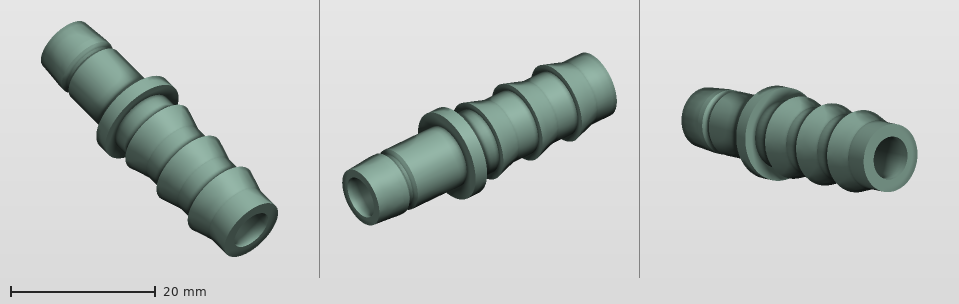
import cadquery as cq

total_length = 41.0
bore_radius = 3.0

nose_tip_radius = 4.2
plug_radius = 4.5
nose_length = 4.0

groove_start = 5.0
groove_depth = 0.5

flange_start = 15.0
flange_end = 17.0
flange_diameter = 13.0
flange_radius = flange_diameter / 2

barb_count = 3
hose_radius = 4.75
barb_radius = 5.75
hose_segment = (total_length - flange_end) / (2 * barb_count + 1)


def plug_profile():
    """Outer (x, radius) points from the nose tip to the flange."""
    groove_radius = plug_radius - groove_depth
    return [
        (0, nose_tip_radius),
        (nose_length, plug_radius),
        (groove_start, plug_radius),
        (groove_start + groove_depth, groove_radius),
        (groove_start + 2 * groove_depth, groove_radius),
        (groove_start + 3 * groove_depth, plug_radius),
        (flange_start, plug_radius),
    ]


def flange_profile():
    """Outer (x, radius) points around the flange rim."""
    return [
        (flange_start, flange_radius),
        (flange_end, flange_radius),
    ]


def hose_profile():
    """Outer (x, radius) points along the barbed end."""
    points = [(flange_end, hose_radius)]
    for index in range(barb_count):
        barb_start = flange_end + (2 * index + 1) * hose_segment
        points += [
            (barb_start, hose_radius),
            (barb_start, barb_radius),
            (barb_start + hose_segment, hose_radius),
        ]
    points.append((total_length, hose_radius))
    return points


bore_edge = [(total_length, bore_radius), (0, bore_radius)]
wall_section = plug_profile() + flange_profile() + hose_profile() + bore_edge
result = cq.Workplane("XY").polyline(wall_section).close().revolve(360, (0, 0, 0), (1, 0, 0))